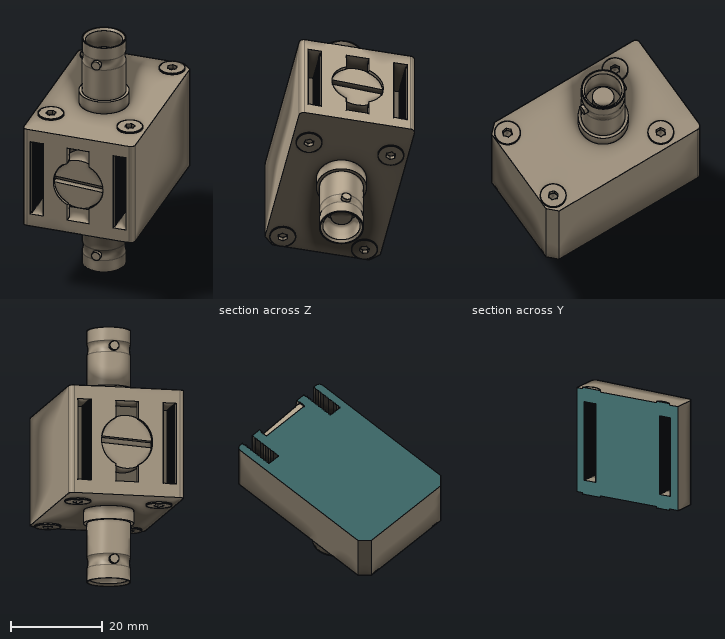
import cadquery as cq
import math

TURN_ANGLE = -2.1
BODY_WIDTH = 25.8
BODY_FRONT = -17.3
BODY_BACK = 22.05
CORE_HEIGHT = 18.0
PLATE_THICKNESS = 3.0
FRONT_CORNER_RADIUS = 1.05
BACK_CORNER_CHAMFER = 2.1
HALF_BODY = CORE_HEIGHT / 2 + PLATE_THICKNESS

TIP_HEIGHT = 28.0
FLANGE_DIAMETER = 11.0
FLANGE_HEIGHT = 2.9
BARREL_DIAMETER = 9.65
GROOVE_START = 2.95
GROOVE_END = 5.5
GROOVE_DEPTH = 0.2
BORE_DIAMETER = 8.2
BORE_DEPTH = 6.7
RIM_MOUTH_DIAMETER = 9.2
RIM_BEVEL_DEPTH = 0.5
INSULATOR_DIAMETER = 4.7
INSULATOR_TOP = 3.5
LUG_DIAMETER = 2.0
LUG_SPAN = 11.0
LUG_DROP = 4.2

COVER_SCREW_X = 9.1
FRONT_SCREW_Y = -9.1
BACK_SCREW_Y = 19.05
COVER_SCREWS = (
    (-COVER_SCREW_X, FRONT_SCREW_Y, 30),
    (COVER_SCREW_X, FRONT_SCREW_Y, 30),
    (-COVER_SCREW_X, BACK_SCREW_Y, 14),
    (COVER_SCREW_X, BACK_SCREW_Y, 40),
)
COVER_HEAD_DIAMETER = 5.7
COVER_HEAD_HEIGHT = 0.35
COVER_HEAD_CHAMFER = 0.085
SOCKET_CORNERS = 2.25
SOCKET_DEPTH = 1.0
SOCKET_POINT_DEPTH = 0.55

T_SLOT_THROAT = 5.05
T_SLOT_LIP = 1.5
T_SLOT_WIDTH = 7.8
T_SLOT_DEPTH = 6.0
MAIN_SCREW_HOLE_DIAMETER = 11.5
MAIN_SCREW_DIAMETER = 11.8
MAIN_SCREW_RECESS = 0.8
DRIVER_SLOT_WIDTH = 1.45
DRIVER_SLOT_DEPTH = 1.5
DRIVER_SLOT_ANGLE = 3.5
SIDE_SLOT_CENTER = 9.6
SIDE_SLOT_WIDTH = 3.0
SIDE_SLOT_ENTRY = 0.55
TOOTH_PITCH = 0.5
TOOTH_HEIGHT = TOOTH_PITCH / 2
TOOTH_COUNT = 15


def make_body():
    """Block with two rounded front corners and two chamfered back corners."""
    body = cq.Workplane("XY").box(
        BODY_WIDTH, BODY_BACK - BODY_FRONT, 2 * HALF_BODY, centered=(True, False, True)
    )
    body = body.translate((0, BODY_FRONT, 0))
    body = body.edges("|Z and <Y").fillet(FRONT_CORNER_RADIUS)
    return body.edges("|Z and >Y").chamfer(BACK_CORNER_CHAMFER)


def core_prism(outline):
    """Extrude an XY outline over the height of the middle section."""
    return outline.close().extrude(CORE_HEIGHT).translate((0, 0, -CORE_HEIGHT / 2))


def front_disc(diameter, start, end):
    """Cylinder along Y between two depths behind the front face."""
    disc = cq.Workplane("XZ").circle(diameter / 2).extrude(-(end - start))
    return disc.translate((0, BODY_FRONT + start, 0))


def make_t_slot():
    """Slot with a narrow throat that widens behind the lips."""
    throat = T_SLOT_THROAT / 2
    wide = T_SLOT_WIDTH / 2
    lip_y = BODY_FRONT + T_SLOT_LIP
    floor_y = BODY_FRONT + T_SLOT_DEPTH
    outline = cq.Workplane("XY").polyline([
        (-throat, BODY_FRONT), (throat, BODY_FRONT), (throat, lip_y), (wide, lip_y),
        (wide, floor_y), (-wide, floor_y), (-wide, lip_y), (-throat, lip_y),
    ])
    return core_prism(outline)


def make_side_slot(center_x):
    """Slot whose two walls carry 90 degree teeth running along Z."""
    half = SIDE_SLOT_WIDTH / 2
    wall = [(half, BODY_FRONT), (half, BODY_FRONT + SIDE_SLOT_ENTRY)]
    for tooth in range(TOOTH_COUNT):
        root_y = BODY_FRONT + SIDE_SLOT_ENTRY + tooth * TOOTH_PITCH
        wall.append((half - TOOTH_HEIGHT, root_y + TOOTH_PITCH / 2))
        wall.append((half, root_y + TOOTH_PITCH))
    opposite_wall = [(-x, y) for x, y in reversed(wall)]
    outline = cq.Workplane("XY").polyline(wall + opposite_wall)
    return core_prism(outline).translate((center_x, 0, 0))


def make_driver_slot():
    """Straight slot across the face of the main screw."""
    slot = cq.Workplane("XY").box(
        MAIN_SCREW_DIAMETER, DRIVER_SLOT_DEPTH, DRIVER_SLOT_WIDTH, centered=(True, False, True)
    )
    slot = slot.rotate((0, 0, 0), (0, 1, 0), DRIVER_SLOT_ANGLE)
    return slot.translate((0, BODY_FRONT + MAIN_SCREW_RECESS, 0))


def make_connector():
    """Upper bayonet connector, standing on the upper end plate."""
    barrel = BARREL_DIAMETER / 2
    bore = BORE_DIAMETER / 2
    flange = FLANGE_DIAMETER / 2
    insulator = INSULATOR_DIAMETER / 2
    flange_top = HALF_BODY + FLANGE_HEIGHT
    groove_middle = TIP_HEIGHT - (GROOVE_START + GROOVE_END) / 2
    bore_floor = TIP_HEIGHT - BORE_DEPTH
    insulator_top = TIP_HEIGHT - INSULATOR_TOP
    shell = (
        cq.Workplane("XZ")
        .moveTo(0, HALF_BODY - PLATE_THICKNESS / 2)
        .lineTo(flange, HALF_BODY - PLATE_THICKNESS / 2)
        .lineTo(flange, flange_top)
        .lineTo(barrel, flange_top)
        .lineTo(barrel, TIP_HEIGHT - GROOVE_END)
        .threePointArc((barrel - GROOVE_DEPTH, groove_middle), (barrel, TIP_HEIGHT - GROOVE_START))
        .lineTo(barrel, TIP_HEIGHT)
        .lineTo(RIM_MOUTH_DIAMETER / 2, TIP_HEIGHT)
        .lineTo(bore, TIP_HEIGHT - RIM_BEVEL_DEPTH)
        .lineTo(bore, bore_floor)
        .lineTo(insulator, bore_floor)
        .lineTo(insulator, insulator_top)
        .lineTo(0, insulator_top)
        .close()
        .revolve(360, (0, 0, 0), (0, 1, 0))
    )
    lugs = cq.Workplane("XZ").circle(LUG_DIAMETER / 2).extrude(LUG_SPAN / 2, both=True)
    lugs = lugs.translate((0, 0, TIP_HEIGHT - LUG_DROP))
    mid_wall_diameter = (BORE_DIAMETER + BARREL_DIAMETER) / 2
    inside = cq.Workplane("XY").circle(mid_wall_diameter / 2).extrude(TIP_HEIGHT)
    return shell.union(lugs.cut(inside))


def make_cover_head():
    """Low cylindrical head of one upper cover screw."""
    head = cq.Workplane("XY").circle(COVER_HEAD_DIAMETER / 2)
    head = head.extrude(PLATE_THICKNESS / 2 + COVER_HEAD_HEIGHT)
    head = head.edges(">Z").chamfer(COVER_HEAD_CHAMFER)
    return head.translate((0, 0, HALF_BODY - PLATE_THICKNESS / 2))


def make_socket(turn):
    """Hexagonal socket with a conical bottom, cut into one upper cover screw."""
    top = HALF_BODY + COVER_HEAD_HEIGHT
    flats = SOCKET_CORNERS / 2 * math.cos(math.pi / 6)
    hexagon = cq.Workplane("XY").polygon(6, SOCKET_CORNERS).extrude(-SOCKET_DEPTH)
    hexagon = hexagon.rotate((0, 0, 0), (0, 0, 1), turn)
    point = cq.Solid.makeCone(
        flats, 0, SOCKET_POINT_DEPTH, pnt=cq.Vector(0, 0, -SOCKET_DEPTH), dir=cq.Vector(0, 0, -1)
    )
    return hexagon.union(cq.Workplane(point)).translate((0, 0, top))


def both_ends(upper):
    """Return an upper feature and its mirror image on the lower end."""
    return (upper, upper.mirror("XY"))


result = make_body()
result = result.cut(make_t_slot())
for side in (-1, 1):
    result = result.cut(make_side_slot(side * SIDE_SLOT_CENTER))

result = result.union(front_disc(MAIN_SCREW_DIAMETER, MAIN_SCREW_RECESS, T_SLOT_DEPTH))
result = result.cut(front_disc(MAIN_SCREW_HOLE_DIAMETER, 0, MAIN_SCREW_RECESS))
result = result.cut(make_driver_slot())

for connector in both_ends(make_connector()):
    result = result.union(connector)

for screw_x, screw_y, socket_turn in COVER_SCREWS:
    place = (screw_x, screw_y, 0)
    for head in both_ends(make_cover_head().translate(place)):
        result = result.union(head)
    for socket in both_ends(make_socket(socket_turn).translate(place)):
        result = result.cut(socket)

result = result.rotate((0, 0, 0), (0, 0, 1), TURN_ANGLE)